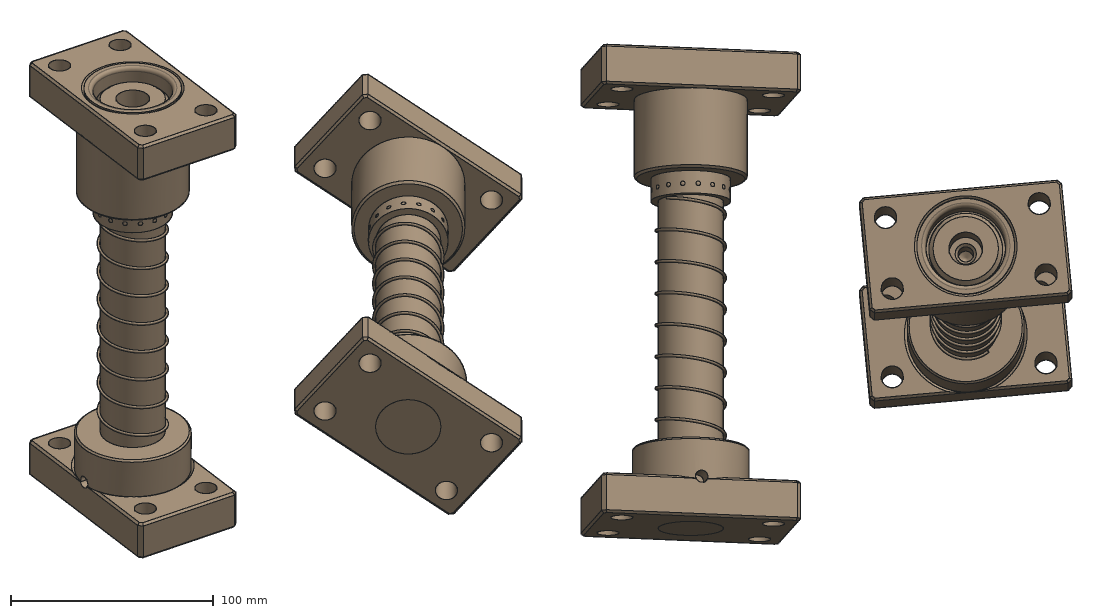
import cadquery as cq
import math

total_height = 236.3
plate_turn = -35.5

plate_length = 100.0
plate_width = 58.1
plate_thickness = 20.0
plate_corner = 2.0
edge_chamfer = 1.2
bolt_pitch_long = 76.0
bolt_pitch_short = 36.0
bolt_radius = 5.5
upper_plate_bottom = total_height - plate_thickness

bush_radius = 27.9
bush_neck_radius = 24.0
bush_height = 60.0
bush_chamfer = 1.2
bush_mouth_fillet = 2.1
bush_bottom = total_height - bush_height

post_radius = 16.0
post_top = 230.0
head_radius = 18.2
head_height = 4.7
head_bottom = post_top - head_height
counterbore_radius = 8.3
counterbore_depth = 13.0
thread_radius = 3.8
thread_depth = 11.8
thread_countersink = 1.5
drill_point_angle = 118

cage_radius = 19.5
cage_bottom = 165.0
ball_count = 16
ball_radius = 2.0
ball_protrusion = 0.35
ball_row_height = 5.0

collar_radius = 28.8
collar_top = 40.0
collar_chamfer = 1.0
recess_depth = 1.2
recess_mouth_radius = 30.2
collar_bottom = plate_thickness - recess_depth

pin_radius = 3.0
pin_depth = 11.8

wire_radius = 0.7
spring_gap = 0.12
spring_turns = 7.75
spring_start_angle = 90


def cylinder(radius, bottom, top):
    return cq.Workplane("XY").workplane(offset=bottom).circle(radius).extrude(top - bottom)


def cone(bottom_radius, top_radius, bottom, top):
    solid = cq.Solid.makeCone(bottom_radius, top_radius, top - bottom, cq.Vector(0, 0, bottom))
    return cq.Workplane(obj=solid)


def make_plate(bottom):
    """Rectangular plate with broken edges and four bolt holes, turned about Z."""
    plate = (
        cq.Workplane("XY")
        .workplane(offset=bottom)
        .rect(plate_length, plate_width)
        .extrude(plate_thickness)
        .edges("|Z")
        .chamfer(plate_corner)
        .faces("<Z or >Z")
        .edges()
        .chamfer(edge_chamfer)
    )
    bolt_holes = (
        cq.Workplane("XY")
        .workplane(offset=bottom)
        .rect(bolt_pitch_long, bolt_pitch_short, forConstruction=True)
        .vertices()
        .circle(bolt_radius)
        .extrude(plate_thickness)
    )
    return plate.cut(bolt_holes).rotate((0, 0, 0), (0, 0, 1), plate_turn)


def make_pin_hole():
    """Cutter for the blind radial hole entering the long side of the lower plate."""
    hole = (
        cq.Workplane("XZ", origin=(0, -plate_width / 2, plate_thickness))
        .circle(pin_radius)
        .extrude(-pin_depth)
    )
    return hole.rotate((0, 0, 0), (0, 0, 1), plate_turn)


def make_upper_plate():
    neck_bore = cylinder(bush_neck_radius, upper_plate_bottom, total_height)
    bore_chamfer = cone(
        bush_neck_radius, bush_neck_radius + edge_chamfer, total_height - edge_chamfer, total_height
    )
    return make_plate(upper_plate_bottom).cut(neck_bore).cut(bore_chamfer)


def make_lower_plate():
    post_bore = cylinder(post_radius, 0, plate_thickness)
    recess = cone(collar_radius, recess_mouth_radius, collar_bottom, plate_thickness)
    return make_plate(0).cut(post_bore).cut(recess).cut(make_pin_hole())


def make_collar():
    collar = cylinder(collar_radius, collar_bottom, collar_top).faces(">Z").edges().chamfer(collar_chamfer)
    return collar.cut(cylinder(post_radius, collar_bottom, collar_top)).cut(make_pin_hole())


def make_bush():
    bush = cylinder(bush_radius, bush_bottom, upper_plate_bottom).faces("<Z").edges().chamfer(bush_chamfer)
    bush = bush.union(cylinder(bush_neck_radius, upper_plate_bottom, total_height))
    bush = bush.cut(cylinder(cage_radius, bush_bottom, total_height))
    bore_mouth = bush.faces(">Z").edges(cq.selectors.RadiusNthSelector(0))
    return bore_mouth.fillet(bush_mouth_fillet)


def make_cage():
    """Tube around the post with a row of slightly protruding balls below the bush."""
    cage = cylinder(cage_radius, cage_bottom, head_bottom)
    ball_centre_radius = cage_radius + ball_protrusion - ball_radius
    for index in range(ball_count):
        ball = (
            cq.Workplane("XY", origin=(ball_centre_radius, 0, cage_bottom + ball_row_height))
            .sphere(ball_radius)
            .rotate((0, 0, 0), (0, 0, 1), plate_turn + index * 360 / ball_count)
        )
        cage = cage.union(ball)
    return cage.cut(cylinder(post_radius, cage_bottom, head_bottom))


def make_post():
    """Post with a bevelled head and a counterbored thread hole in its top."""
    head = cylinder(head_radius, head_bottom, post_top)
    head = head.faces(">Z").edges().chamfer(head_radius - post_radius)
    post = cylinder(post_radius, 0, head_bottom).union(head)

    counterbore_floor = post_top - counterbore_depth
    thread_bottom = counterbore_floor - thread_depth
    point_height = thread_radius / math.tan(math.radians(drill_point_angle / 2))
    cutters = [
        cylinder(counterbore_radius, counterbore_floor, post_top),
        cone(
            thread_radius,
            thread_radius + thread_countersink,
            counterbore_floor - thread_countersink,
            counterbore_floor,
        ),
        cylinder(thread_radius, thread_bottom, counterbore_floor),
        cone(0, thread_radius, thread_bottom - point_height, thread_bottom),
    ]
    for cutter in cutters:
        post = post.cut(cutter)
    return post


def make_spring():
    """Left-handed round-wire coil between the collar and the ball cage."""
    coil_radius = post_radius + spring_gap + wire_radius
    end_clearance = wire_radius + spring_gap
    coil_bottom = collar_top + end_clearance
    coil_height = cage_bottom - end_clearance - coil_bottom
    path = cq.Wire.makeHelix(coil_height / spring_turns, coil_height, coil_radius, lefthand=True)
    wire = cq.Workplane("XZ", origin=(coil_radius, 0, 0)).circle(wire_radius)
    spring = wire.sweep(cq.Workplane(obj=path), isFrenet=True)
    return spring.rotate((0, 0, 0), (0, 0, 1), spring_start_angle).translate((0, 0, coil_bottom))


upper_plate = make_upper_plate()
lower_plate = make_lower_plate()
collar = make_collar()
bush = make_bush()
cage = make_cage()
post = make_post()
spring = make_spring()

bodies = [upper_plate, lower_plate, collar, bush, cage, post, spring]
result = cq.Compound.makeCompound([body.solids().val() for body in bodies])